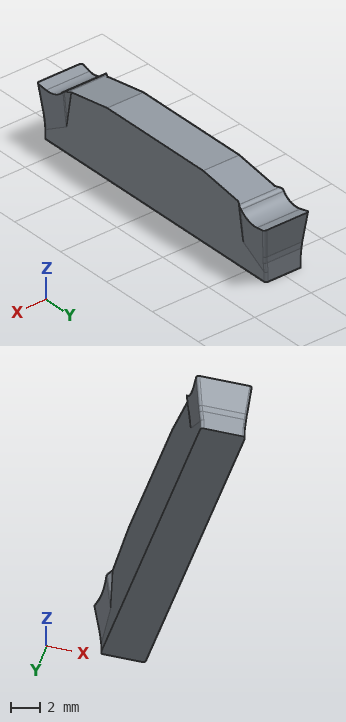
import cadquery as cq

length = 24.78
height = 5.8
body_width = 3.22
end_inset = 0.32
relief_start = 1.85
relief_blend_radius = 4.21
tip_height = 4.5
land_length = 0.92
land_drop = 0.17
chip_groove_end = (9.75, 4.95)
roof_start = (9.37, 5.13)
crest_half_length = 5.23
corner_radius = 0.2

flare_corner = (9.61, 2.13)
low_edge_run = 2.2
low_edge_fall = 1.3
ridge_rise = 2.97
ridge_spread = 0.3
back_edge_run = 0.52
back_edge_rise = 3.05
flare_reach = 4
ridge_blend_radius = 0.25

half_length = length / 2
half_width = body_width / 2
base_half_length = half_length - end_inset
stock_width = 2 * body_width


def half_profile(width):
    """Side outline of the +Y half, extruded symmetrically about X = 0."""
    land_end = (half_length - land_length, tip_height - land_drop)
    solid = (
        cq.Workplane("YZ")
        .lineTo(base_half_length, 0)
        .lineTo(base_half_length, relief_start)
        .lineTo(half_length, tip_height)
        .lineTo(*land_end)
        .tangentArcPoint(chip_groove_end, relative=False)
        .tangentArcPoint(roof_start, relative=False)
        .lineTo(crest_half_length, height)
        .lineTo(0, height)
        .close()
        .extrude(width / 2, both=True)
    )
    relief_edge = cq.selectors.NearestToPointSelector((0, base_half_length, relief_start))
    return solid.edges(relief_edge).fillet(relief_blend_radius)


def flare():
    """Oversize tetrahedron holding the tapered flank and back facet on the +X side."""
    corner_y, corner_z = flare_corner

    def ray_end(dx, dy, dz):
        return cq.Vector(
            half_width + flare_reach * dx,
            corner_y + flare_reach * dy,
            corner_z + flare_reach * dz,
        )

    corner = ray_end(0, 0, 0)
    low = ray_end(0, low_edge_run, -low_edge_fall)
    ridge = ray_end(ridge_spread, 0, ridge_rise)
    back = ray_end(0, -back_edge_run, back_edge_rise)
    triangles = [
        (corner, low, back),
        (corner, low, ridge),
        (corner, ridge, back),
        (low, ridge, back),
    ]
    faces = [cq.Face.makeFromWires(cq.Wire.makePolygon(t, close=True)) for t in triangles]
    solid = cq.Solid.makeSolid(cq.Shell.makeShell(faces))
    blend_point = (corner + ridge) * 0.5
    ridge_edge = cq.selectors.NearestToPointSelector(blend_point.toTuple())
    return cq.Workplane(solid).edges(ridge_edge).fillet(ridge_blend_radius)


def round_end_corners(solid):
    """Round the upright edges where the end face meets both flanks."""
    for side in (-1, 1):
        corner_edges = cq.selectors.BoxSelector(
            (side * half_width / 2, base_half_length - corner_radius / 2, 0),
            (side * stock_width, half_length + corner_radius, height),
        )
        solid = solid.edges(corner_edges).edges("not |X").fillet(corner_radius)
    return solid


side_flare = half_profile(stock_width).intersect(flare())
half_bar = half_profile(body_width).union(side_flare).union(side_flare.mirror("YZ"))
half_bar = round_end_corners(half_bar)
result = half_bar.union(half_bar.mirror("XZ")).clean()